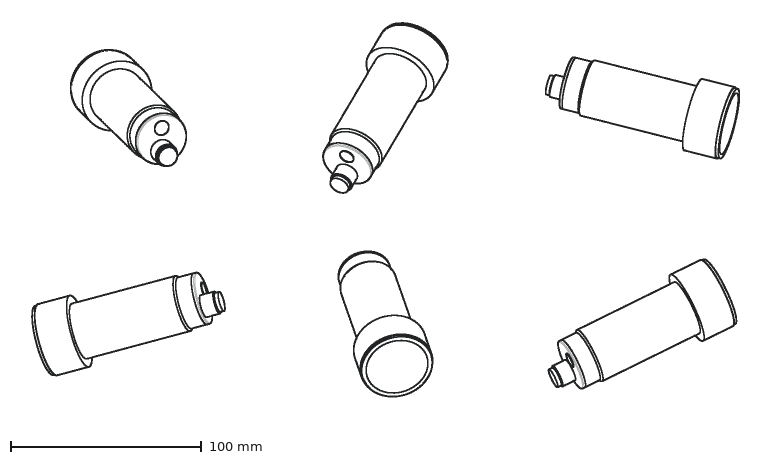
import cadquery as cq

LENGTH = 98.9
LIP_LENGTH = 1.6
HEAD_END = 19.5
SHAFT_END = 78.4
HOUSING_END = 87.1
CAP_END = 88.8
PLUG_SHOULDER = 96.8

LENS_RADIUS = 16.5
HEAD_RADIUS = 19.4
LIP_RADIUS = 18.9
SHAFT_RADIUS = 15.0
TAIL_RADIUS = 13.9
SHAFT_CHAMFER = SHAFT_RADIUS - TAIL_RADIUS
PLUG_RADIUS = 6.0
PLUG_TIP_RADIUS = 5.2

CAP_ROUND = 0.5
PLUG_CHAMFER = 0.5

BUTTON_RADIUS = 4.0
BUTTON_RIM = 0.4
BUTTON_HEIGHT = 1.1

PLUG_Z = -6.2
BUTTON_Z = 6.4


def disc(start, end, radius, z=0.0):
    """Cylinder along X between two stations, centred at height z."""
    return cq.Workplane("YZ", origin=(start, 0, z)).circle(radius).extrude(end - start)


def revolve_about_x(profile, z=0.0):
    """Turn a profile of (station, radius) drawn on XZ about the X direction."""
    return profile.close().revolve(360, (0, 0, 0), (1, 0, 0)).translate((0, 0, z))


def make_housing():
    """Stepped barrel with a wide head, a lens recess and a 45-degree shaft end."""
    barrel = revolve_about_x(
        cq.Workplane("XZ")
        .polyline([
            (0, 0),
            (0, LIP_RADIUS),
            (LIP_LENGTH, LIP_RADIUS),
            (LIP_LENGTH, HEAD_RADIUS),
            (HEAD_END, HEAD_RADIUS),
            (HEAD_END, SHAFT_RADIUS),
            (SHAFT_END - SHAFT_CHAMFER, SHAFT_RADIUS),
            (SHAFT_END, TAIL_RADIUS),
            (HOUSING_END, TAIL_RADIUS),
            (HOUSING_END, 0),
        ])
    )
    return barrel.cut(disc(0, LIP_LENGTH, LENS_RADIUS))


def make_lens():
    """Round window, flush with the front face."""
    return disc(0, LIP_LENGTH, LENS_RADIUS)


def make_rear_cap():
    """Disc closing the tail, with its rear outer edge rounded."""
    return disc(HOUSING_END, CAP_END, TAIL_RADIUS).faces(">X").edges().fillet(CAP_ROUND)


def make_plug():
    """Round connector with a chamfered shoulder and a narrower tip."""
    body = disc(CAP_END, PLUG_SHOULDER, PLUG_RADIUS, PLUG_Z)
    body = body.faces(">X").edges().chamfer(PLUG_CHAMFER)
    return body.union(disc(PLUG_SHOULDER, LENGTH, PLUG_TIP_RADIUS, PLUG_Z))


def make_button():
    """Low cylinder with a domed end."""
    rim_x = CAP_END + BUTTON_RIM
    top_x = CAP_END + BUTTON_HEIGHT
    rise = BUTTON_HEIGHT - BUTTON_RIM
    dome_radius = (BUTTON_RADIUS**2 + rise**2) / (2 * rise)
    mid_r = BUTTON_RADIUS / 2
    mid_x = top_x - dome_radius + (dome_radius**2 - mid_r**2) ** 0.5
    profile = (
        cq.Workplane("XZ")
        .moveTo(CAP_END, 0)
        .lineTo(CAP_END, BUTTON_RADIUS)
        .lineTo(rim_x, BUTTON_RADIUS)
        .threePointArc((mid_x, mid_r), (top_x, 0))
    )
    return revolve_about_x(profile, BUTTON_Z)


housing = make_housing()
lens = make_lens()
rear_cap = make_rear_cap()
plug = make_plug()
button = make_button()

result = cq.Compound.makeCompound([
    housing.val(),
    lens.val(),
    rear_cap.val(),
    plug.val(),
    button.val(),
])